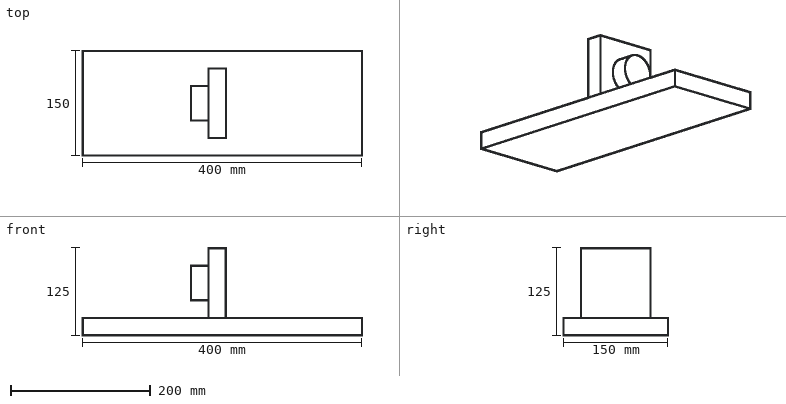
import cadquery as cq

base_length = 400.0
base_width = 150.0
base_thickness = 25.0

plate_side = 100.0
plate_thickness = 25.0
plate_front_from_base_end = 180.0

boss_diameter = 50.0
boss_length = 25.0

plate_front_x = plate_front_from_base_end - base_length / 2
boss_center_z = base_thickness + plate_side / 2


def make_base():
    return cq.Workplane("XY").box(
        base_length, base_width, base_thickness, centered=(True, True, False)
    )


def make_plate():
    return (
        cq.Workplane("XY")
        .box(plate_thickness, plate_side, plate_side, centered=(False, True, False))
        .translate((plate_front_x, 0, base_thickness))
    )


def make_boss():
    return (
        cq.Workplane("YZ", origin=(plate_front_x, 0, boss_center_z))
        .circle(boss_diameter / 2)
        .extrude(-boss_length)
    )


result = make_base().union(make_plate()).union(make_boss())